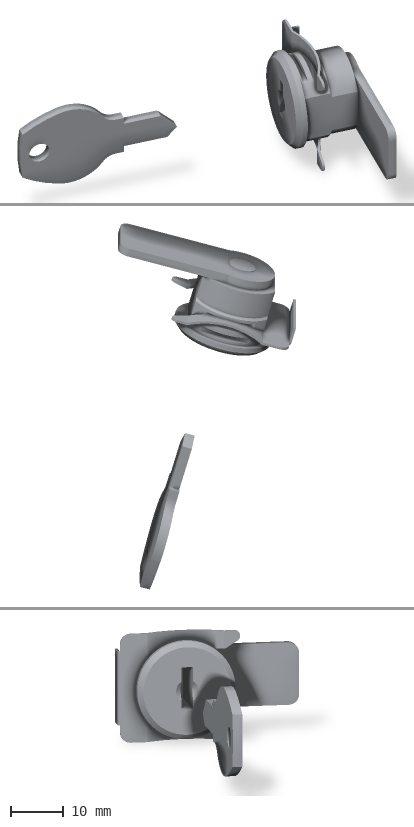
import cadquery as cq
import math


flange_radius = 9.5
flange_chamfer = 1.0
flange_thickness = 2.0
barrel_radius = 8.5
barrel_length = 7.4
neck_radius = 8.05
neck_start = 7.8
housing_length = 12.9
flat_offset = 7.05
front_groove = (2.65, 3.7)
clip_groove = (4.75, 6.8)

plug_radius = 6.4
plug_length = 13.1
stud_radius = 2.6
keyway_width = 2.2
keyway_height = 8.1
keyway_depth = 10.6
countersink_radius = 2.15

cam_thickness = 1.6
cam_hub_radius = 6.5
cam_reach = 23.95
cam_width = 12.0
cam_corner_radius = 2.0
stud_protrusion = 0.2

clip_thickness = 0.5
clip_front = 4.5
clip_width = 21.0
clip_tip_x = 10.95
clip_corner_radius = 2.0
clip_tip_radius = 1.0
bow_left = -6.85
bow_right = 7.85
taper_start = 8.1
taper_height = 1.75
tab_left = -12.5
tab_width = 14.15
tab_rear = 8.0
bend_radius = 0.4
clip_rear = clip_front + clip_thickness
plate_left = tab_left + bend_radius
bow_peak = clip_groove[1]

key_thickness = 1.9
key_length = 31.5
key_end = -52.7
key_axis_z = 0.55
blade_length = 10.6
blade_half_width = 2.65
blade_tip_drop = 0.7
collar_half_width = 4.0
collar_fillet = 3.3
head_radius = 8.5
head_center = 21.6
head_blend_angle = math.radians(14)
head_end = 31.0
head_end_half_width = 5.1
key_hole_position = 27.6
key_hole_radius = 2.0


def disc(radius, start, end):
    """Solid cylinder on the lock axis between two depths."""
    return cq.Workplane("XZ", origin=(0, start, 0)).circle(radius).extrude(start - end)


def block(x_range, y_range, z_range):
    """Box spanning the given ranges."""
    size = [high - low for low, high in (x_range, y_range, z_range)]
    corner = cq.Vector(x_range[0], y_range[0], z_range[0])
    return cq.Workplane(cq.Solid.makeBox(*size, corner))


def make_housing():
    """Chamfered flange and flatted barrel, bored for the plug and grooved for the clip."""
    profile = [
        (0, 0),
        (flange_radius - flange_chamfer, 0),
        (flange_radius, flange_chamfer),
        (flange_radius, flange_thickness),
        (barrel_radius, flange_thickness),
        (barrel_radius, barrel_length),
        (neck_radius, neck_start),
        (neck_radius, housing_length),
        (0, housing_length),
    ]
    housing = cq.Workplane("XY").polyline(profile).close().revolve(360, (0, 0, 0), (0, 1, 0))

    outside = (flat_offset, flange_radius)
    across = (-flange_radius, flange_radius)
    flat = block(outside, (flange_thickness, housing_length), across)
    housing = housing.cut(flat).cut(flat.mirror("YZ"))

    for groove in (front_groove, clip_groove):
        cutter = block(across, groove, outside)
        housing = housing.cut(cutter).cut(cutter.mirror("XY"))

    return housing.cut(disc(plug_radius, 0, housing_length))


def make_plug():
    """Rotating core with a countersunk keyway in front and a stud for the cam behind."""
    stud_end = plug_length + cam_thickness + stud_protrusion
    plug = disc(plug_radius, 0, plug_length).union(disc(stud_radius, plug_length, stud_end))
    half_width = keyway_width / 2
    half_height = keyway_height / 2
    height_range = (key_axis_z - half_height, key_axis_z + half_height)
    keyway = block((-half_width, half_width), (0, keyway_depth), height_range)
    countersink = cq.Workplane(
        cq.Solid.makeCone(countersink_radius, 0, countersink_radius, dir=cq.Vector(0, 1, 0))
    )
    return plug.cut(keyway).cut(countersink)


def make_cam():
    """Round hub with a flat arm reaching toward +X."""
    rear = plug_length + cam_thickness
    half_width = cam_width / 2
    arm = block((0, cam_reach), (plug_length, rear), (-half_width, half_width))
    arm = arm.edges("|Y and >X").fillet(cam_corner_radius)
    return disc(cam_hub_radius, plug_length, rear).union(arm).cut(disc(stud_radius, plug_length, rear))


def clip_strip():
    """Full-width strip, flat at both ends and bowed to the rear in between."""
    bow_middle = (bow_left + bow_right) / 2
    half_chord = (bow_right - bow_left) / 2
    bow_rise = bow_peak - clip_rear
    bow_inner_radius = (half_chord**2 + bow_rise**2) / (2 * bow_rise)
    bow_outer_radius = bow_inner_radius + clip_thickness
    bow_center = bow_peak - clip_thickness - bow_inner_radius
    rear_half_chord = math.sqrt(bow_outer_radius**2 - (clip_rear - bow_center) ** 2)

    return (
        cq.Workplane("XY", origin=(0, 0, -clip_width / 2))
        .moveTo(plate_left, clip_front)
        .lineTo(bow_left, clip_front)
        .threePointArc((bow_middle, bow_peak - clip_thickness), (bow_right, clip_front))
        .lineTo(clip_tip_x, clip_front)
        .lineTo(clip_tip_x, clip_rear)
        .lineTo(bow_middle + rear_half_chord, clip_rear)
        .threePointArc((bow_middle, bow_peak), (bow_middle - rear_half_chord, clip_rear))
        .lineTo(plate_left, clip_rear)
        .close()
        .extrude(clip_width)
    )


def clip_outline():
    """Prism with the clip's fork shape: rounded corners at left, two tapered prongs at right."""
    half_width = clip_width / 2
    outline = block((plate_left, clip_tip_x), (clip_front, bow_peak), (-half_width, half_width))
    outline = outline.edges("|Y and <X").fillet(clip_corner_radius)
    tip_z = flat_offset + taper_height
    flat_half_width = math.sqrt(barrel_radius**2 - flat_offset**2)
    corner = barrel_radius * math.sqrt(0.5)
    fork_gap = (
        cq.Workplane("XZ", origin=(0, clip_front, 0))
        .moveTo(-flat_offset, flat_half_width)
        .threePointArc((-corner, corner), (-flat_half_width, flat_offset))
        .lineTo(taper_start, flat_offset)
        .lineTo(clip_tip_x, tip_z)
        .lineTo(clip_tip_x, -tip_z)
        .lineTo(taper_start, -flat_offset)
        .lineTo(-flat_half_width, -flat_offset)
        .threePointArc((-corner, -corner), (-flat_offset, -flat_half_width))
        .close()
        .extrude(clip_front - bow_peak)
    )
    return outline.cut(fork_gap).edges("|Y and >X").fillet(clip_tip_radius)


def clip_tab():
    """Tab bent to the rear at the closed end of the fork, rounded outside the bend."""
    return (
        cq.Workplane("XY", origin=(0, 0, -tab_width / 2))
        .moveTo(plate_left, clip_front)
        .radiusArc((tab_left, clip_front + bend_radius), bend_radius)
        .lineTo(tab_left, tab_rear)
        .lineTo(tab_left + clip_thickness, tab_rear)
        .lineTo(tab_left + clip_thickness, clip_front)
        .close()
        .extrude(tab_width)
    )

def make_clip():
    """Forked spring clip whose bowed prongs sit in the clip grooves of the barrel."""
    return clip_strip().intersect(clip_outline()).union(clip_tab())


def key_head():
    """Rounded key head with its collar, symmetric about its long axis."""
    fillet_z = collar_half_width + collar_fillet
    center_spacing = head_radius + collar_fillet
    fillet_start = head_center - math.sqrt(center_spacing**2 - fillet_z**2)
    fillet_end = head_center - (head_center - fillet_start) * head_radius / center_spacing
    fillet_end_z = fillet_z * head_radius / center_spacing
    blend_x = head_center + head_radius * math.sin(head_blend_angle)
    blend_z = head_radius * math.cos(head_blend_angle)

    upper_half = (
        cq.Workplane("XY")
        .moveTo(blade_length, 0)
        .lineTo(blade_length, collar_half_width)
        .lineTo(fillet_start, collar_half_width)
        .tangentArcPoint((fillet_end, fillet_end_z), relative=False)
        .threePointArc((head_center, head_radius), (blend_x, blend_z))
        .tangentArcPoint((head_end, head_end_half_width), relative=False)
        .threePointArc(head_end_quarter_point(), (key_length, 0))
        .close()
        .extrude(key_thickness)
    )
    return upper_half.union(upper_half.mirror("XZ"))


def head_end_quarter_point():
    """Point on the bowed end of the key head, halfway from its corner to the key axis."""
    bulge = key_length - head_end
    radius = (head_end_half_width**2 + bulge**2) / (2 * bulge)
    half_angle = math.asin(head_end_half_width / radius) / 2
    return key_length - radius * (1 - math.cos(half_angle)), radius * math.sin(half_angle)


def make_key():
    """Flat key with an off-center point, lying in the YZ plane with its blade toward the keyway.

    It is modelled flat, tip at the origin and head toward +X, then turned into place.
    """
    blade = (
        cq.Workplane("XY")
        .moveTo(0, -blade_tip_drop)
        .lineTo(blade_half_width + blade_tip_drop, blade_half_width)
        .lineTo(blade_length, blade_half_width)
        .lineTo(blade_length, -blade_half_width)
        .lineTo(blade_half_width - blade_tip_drop, -blade_half_width)
        .close()
        .extrude(key_thickness)
    )
    hole = cq.Workplane("XY").center(key_hole_position, 0).circle(key_hole_radius).extrude(key_thickness)
    key = blade.union(key_head()).cut(hole)
    key = key.translate((0, 0, -key_thickness / 2))
    key = key.rotate((0, 0, 0), (1, 0, 0), 90).rotate((0, 0, 0), (0, 0, 1), -90)
    return key.translate((0, key_end + key_length, key_axis_z))


housing = make_housing()
plug = make_plug()
cam = make_cam()
clip = make_clip()
key = make_key()

result = cq.Compound.makeCompound([housing.val(), plug.val(), cam.val(), clip.val(), key.val()])